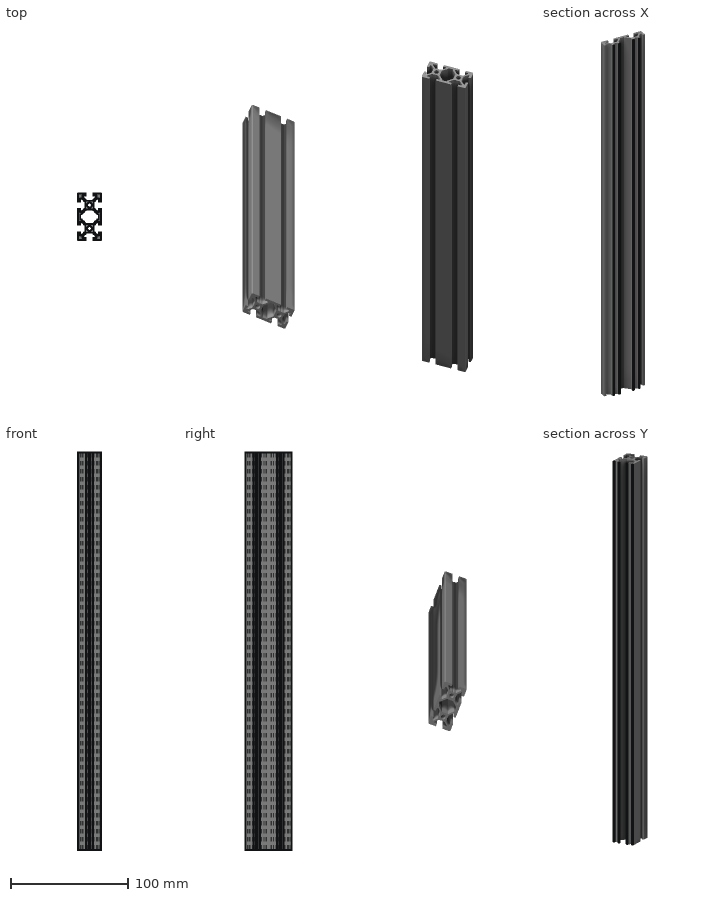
import cadquery as cq
import math

length = 340.0
width = 20.0
depth = 40.0

cell_half = width / 2
cell_centres = (-cell_half, cell_half)
core_bore_diameter = 4.0

mouth_half = 3.0
lip_thickness = 2.0
pocket_half = 5.8
core_half = 3.7

groove_half = 0.7
groove_depth = 0.5

web_thickness = 1.43

cavity_half_height = 6.0
cavity_half_width = 6.8
recess_half_height = 2.0
recess_depth = 1.0

corner_radius = 1.1

web_face_offset = web_thickness / 2 * math.sqrt(2)


def prism(points):
    return cq.Workplane("XY").polyline(points).close().extrude(length)


def outer_block():
    block = cq.Workplane("XY").rect(width, depth).extrude(length)
    return block.edges("|Z").fillet(corner_radius)


def t_slot(centre_y, direction):
    """T-slot of the cell at centre_y, opening at direction degrees from +X."""
    lip_inner = cell_half - lip_thickness
    groove_bottom = (core_half - groove_depth, 0)
    one_side = [
        (core_half, groove_half),
        (core_half, core_half - web_face_offset),
        (pocket_half + web_face_offset, pocket_half),
        (lip_inner, pocket_half),
        (lip_inner, mouth_half),
        (cell_half, mouth_half),
    ]
    other_side = [(x, -y) for x, y in reversed(one_side)]
    slot = prism([groove_bottom] + one_side + other_side)
    return slot.rotate((0, 0, 0), (0, 0, 1), direction).translate((0, centre_y, 0))


def core_bore(centre_y):
    return cq.Workplane("XY").center(0, centre_y).circle(core_bore_diameter / 2).extrude(length)


def central_cavity():
    """Cavity whose 45 degree sides are the inner faces of the webs."""
    web_face_sum = cell_half - web_face_offset
    recess_x = cavity_half_width + recess_depth
    quarter = [
        (recess_x, recess_half_height),
        (cavity_half_width, recess_half_height),
        (cavity_half_width, web_face_sum - cavity_half_width),
        (web_face_sum - cavity_half_height, cavity_half_height),
    ]
    right_side = [(x, -y) for x, y in reversed(quarter)] + quarter
    left_side = [(-x, y) for x, y in reversed(right_side)]
    return prism(right_side + left_side)


result = outer_block().cut(central_cavity())

for centre_y in cell_centres:
    outer_end = math.copysign(90, centre_y)
    for direction in (0, 180, outer_end):
        result = result.cut(t_slot(centre_y, direction))
    result = result.cut(core_bore(centre_y))